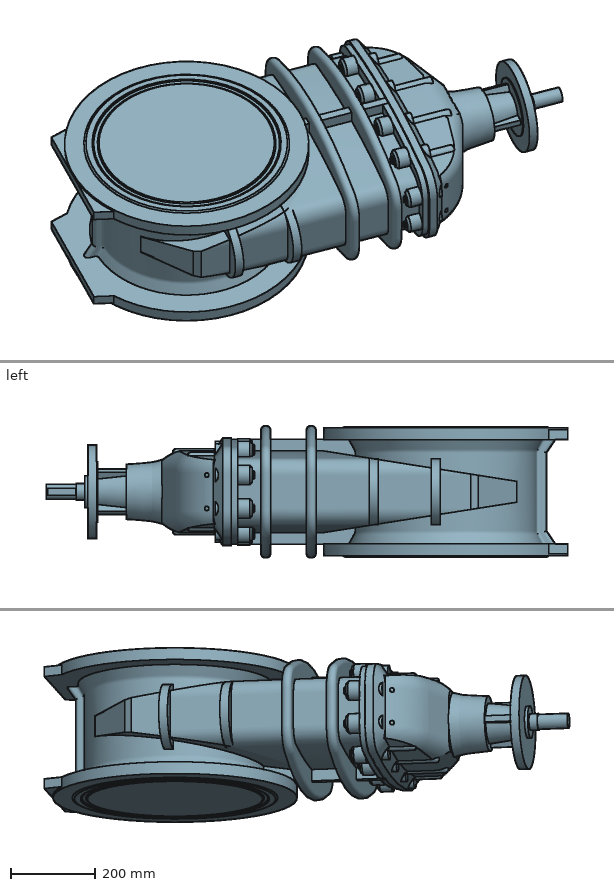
import cadquery as cq


flange_radius = 290.0
flange_inner_z = 124.0
flange_outer_z = 153.0
face_radius = 244.0
face_bevel = 5.0
face_z = 155.0
seat_groove_outer = 225.0
seat_groove_inner = 208.0
seat_groove_bevel = 4.0
seat_groove_depth = 1.9
barrel_radius = 216.0
barrel_half_length = 93.0
hub_start_rise = 1.9
hub_start_radius = barrel_radius + hub_start_rise
hub_start_z = 100.0
hub_radius = 231.0
foot_top_y = -243.0
foot_top_half_width = 156.0
foot_bottom_half_width = 141.0
foot_thickness = 24.0
drain_rib_half_width = 10.0
drain_rib_y = -240.0
drain_rib_end_y = -260.0
drain_rib_tip_round = 9.0
drain_rib_fillet = 7.0

housing_half_width = 253.0
housing_crown_z = 98.0
housing_shoulder_z = 73.0
housing_corner = 40.0
housing_side_end_y = -60.0
housing_bend = (243.0, -77.0)
housing_toe = (136.0, -169.0)
taper_high_y = 320.0
taper_high_z = 102.0
taper_low_z = 25.0

ring_half_width = flange_radius
ring_depth = 316.0
ring_crown_z = ring_depth / 2
ring_shoulder_z = 89.0
ring_corner = 67.0
ring_thickness = 24.0
ring_edge_round = 11.7
ring_centers_y = (428.0, 320.0)
centre_rib_half_width = 10.0
centre_rib_z = 125.0
guide_rib_radius = 78.0
guide_rib_thickness = 21.0
guide_rib_centers_y = (171.0, 24.0)

body_joint_y = 495.0
joint_y = 510.0
bonnet_joint_y = 530.0
bonnet_skirt_y = 553.0
body_joint_half_width = 275.0
body_joint_crown_z = 125.0
bonnet_joint_half_width = 283.0
bonnet_joint_crown_z = 129.0
joint_shoulder_drop = 32.0
joint_corner = 62.0
bolt_places = ((61.0, 103.0), (172.0, 97.0), (250.0, 40.0))
nut_radius = 24.0
nut_height = 35.0
nut_bevel = 6.0
bolt_radius = 10.0
bolt_tip = 6.0
bolt_head_radius = 17.0
bolt_head_y = 548.0

dome_half_width = 250.0
dome_crown_z = 99.0
dome_shoulder_z = 75.0
dome_top_y = 675.0
dome_neck_half_width = 75.0
dome_slope_end = (161.0, 641.0)
dome_bend_y = 612.0
dome_neck_z = 75.0
dome_edge_round = 52.0
dome_rib_radius = 11.8
dome_rib_places = ((61.0, 90.0, 649.0), (172.0, 82.0, 614.0))
side_rib_x = 238.0
side_rib_z = 40.0
side_rib_end_y = 573.0
side_rib_radius = 8.1
rib_end_round = 7.0

tower_top_y = 759.0
tower_base_y = 698.0
tower_top_radius = 66.0
tower_base_radius = 71.0
tower_foot_radius = 77.0
tower_foot_y = 674.0
tower_root_y = 620.0
yoke_top_radius = 40.0
yoke_base_radius = 48.0
yoke_rib_radius = 58.0
yoke_rib_width = 15.0
yoke_rib_count = 3
drive_bottom_y = 830.0
drive_top_y = 851.0
drive_radius = 112.0
drive_pad_radius = 72.0
drive_pad_thickness = 2.0
drive_boss_radius = 38.0
drive_boss_y = 858.0
collar_radius = 20.0
collar_y = 878.0
stem_diameter = 36.0
stem_radius = stem_diameter / 2
stem_y = 950.0
keyway_width = 16.0
keyway_depth = 6.0
keyway_length = 67.0
keyway_end_gap = 4.0


def along_y(y):
    """Plane at height y with local x along X, local y along Z, facing -Y."""
    return cq.Workplane(cq.Plane((0, y, 0), (1, 0, 0), (0, -1, 0)))


def lens_block(half_width, crown_z, shoulder_z, y_start, y_end):
    """Block with upright sides and bulging faces, running along Y."""
    outline = (
        along_y(y_start)
        .moveTo(-half_width, -shoulder_z)
        .lineTo(-half_width, shoulder_z)
        .threePointArc((0, crown_z), (half_width, shoulder_z))
        .lineTo(half_width, -shoulder_z)
        .threePointArc((0, -crown_z), (-half_width, -shoulder_z))
        .close()
    )
    return outline.extrude(y_start - y_end)


def crowned_block(half_width, crown_z, shoulder_z, corner, y_start, y_end):
    """Lens block with its four long corners rounded."""
    return lens_block(half_width, crown_z, shoulder_z, y_start, y_end).edges("|Y").fillet(corner)


def round_bar(radius, y_start, y_end, x=0, z=0):
    return along_y(y_start).center(x, z).circle(radius).extrude(y_start - y_end)


def make_barrel():
    profile = (
        cq.Workplane("XZ")
        .moveTo(0, 0)
        .lineTo(barrel_radius, 0)
        .lineTo(barrel_radius, barrel_half_length)
        .tangentArcPoint((hub_start_radius, hub_start_z), relative=False)
        .lineTo(hub_radius, flange_inner_z)
        .lineTo(flange_radius, flange_inner_z)
        .lineTo(flange_radius, flange_outer_z)
        .lineTo(face_radius, flange_outer_z)
        .lineTo(face_radius - face_bevel, face_z)
        .lineTo(seat_groove_outer, face_z)
        .lineTo(seat_groove_outer - seat_groove_bevel, face_z - seat_groove_depth)
        .lineTo(seat_groove_inner + seat_groove_bevel, face_z - seat_groove_depth)
        .lineTo(seat_groove_inner, face_z)
        .lineTo(0, face_z)
        .close()
    )
    half = profile.revolve(360, (0, 0, 0), (0, 1, 0))
    foot = (
        cq.Workplane("XY")
        .workplane(offset=flange_inner_z)
        .polyline([
            (-foot_top_half_width, foot_top_y),
            (foot_top_half_width, foot_top_y),
            (foot_bottom_half_width, -flange_radius),
            (-foot_bottom_half_width, -flange_radius),
        ])
        .close()
        .extrude(foot_thickness)
    )
    half = half.union(foot)
    return half.union(half.mirror("XY"))


def make_drain_rib():
    """Upright rib on the underside of the barrel, widening towards both flanges."""
    rib = (
        cq.Workplane("YZ")
        .polyline([
            (0, -flange_inner_z),
            (drain_rib_end_y, -flange_inner_z),
            (drain_rib_y, -barrel_half_length),
            (drain_rib_y, barrel_half_length),
            (drain_rib_end_y, flange_inner_z),
            (0, flange_inner_z),
        ])
        .close()
        .extrude(drain_rib_half_width, both=True)
    )
    tip_region = cq.selectors.BoxSelector(
        (-flange_radius, drain_rib_end_y, -flange_inner_z + drain_rib_fillet),
        (flange_radius, -barrel_radius, flange_inner_z - drain_rib_fillet),
    )
    return rib.edges("not(|X)").edges(tip_region).fillet(drain_rib_tip_round)


def make_ribbed_barrel():
    """Barrel with the drain rib blended into its underside."""
    barrel = make_barrel().union(make_drain_rib())
    blend_region = cq.selectors.BoxSelector(
        (-drain_rib_half_width - drain_rib_fillet, -barrel_radius, -drain_rib_fillet),
        (drain_rib_half_width + drain_rib_fillet, -barrel_radius + drain_rib_fillet, drain_rib_fillet),
    )
    return barrel.edges("|Z").edges(blend_region).fillet(drain_rib_fillet)


def make_housing():
    bend_x, bend_y = housing_bend
    toe_x, toe_y = housing_toe
    block = crowned_block(
        housing_half_width, housing_crown_z, housing_shoulder_z, housing_corner, toe_y, joint_y
    )
    plan = (
        cq.Workplane("XY")
        .polyline([
            (-housing_half_width, joint_y),
            (housing_half_width, joint_y),
            (housing_half_width, housing_side_end_y),
            (bend_x, bend_y),
            (toe_x, toe_y),
            (-toe_x, toe_y),
            (-bend_x, bend_y),
            (-housing_half_width, housing_side_end_y),
        ])
        .close()
        .extrude(ring_crown_z, both=True)
    )
    wedge = (
        cq.Workplane("YZ")
        .polyline([
            (joint_y, -taper_high_z),
            (joint_y, taper_high_z),
            (taper_high_y, taper_high_z),
            (toe_y, taper_low_z),
            (toe_y, -taper_low_z),
            (taper_high_y, -taper_high_z),
        ])
        .close()
        .extrude(flange_radius, both=True)
    )
    return block.intersect(plan).intersect(wedge)


def make_housing_ribs():
    ribs = (
        cq.Workplane("XY")
        .box(2 * centre_rib_half_width, joint_y, 2 * centre_rib_z, centered=(True, False, True))
    )
    for y in ring_centers_y:
        ring = crowned_block(
            ring_half_width, ring_crown_z, ring_shoulder_z, ring_corner,
            y - ring_thickness / 2, y + ring_thickness / 2,
        )
        ribs = ribs.union(ring.faces("<Y or >Y").edges().fillet(ring_edge_round))
    for y in guide_rib_centers_y:
        for side in (-1, 1):
            disc = round_bar(
                guide_rib_radius, y - guide_rib_thickness / 2, y + guide_rib_thickness / 2,
                x=side * (flange_radius - guide_rib_radius),
            )
            ribs = ribs.union(disc)
    return ribs


def make_joint():
    joint = crowned_block(
        body_joint_half_width, body_joint_crown_z, body_joint_crown_z - joint_shoulder_drop,
        joint_corner, body_joint_y, joint_y,
    )
    bonnet_flange = crowned_block(
        bonnet_joint_half_width, bonnet_joint_crown_z, bonnet_joint_crown_z - joint_shoulder_drop,
        joint_corner, joint_y, bonnet_skirt_y,
    )
    skirt_height = bonnet_skirt_y - bonnet_joint_y
    skirt_width = bonnet_joint_half_width - dome_half_width
    bonnet_flange = bonnet_flange.faces(">Y").edges().chamfer(skirt_height, skirt_width)
    joint = joint.union(bonnet_flange)
    for bolt_x, bolt_z in bolt_places:
        for x in (-bolt_x, bolt_x):
            for z in (-bolt_z, bolt_z):
                joint = joint.union(make_bolt(x, z))
    return joint


def make_bolt(x, z):
    """Bolt through the joint, with its nut on the housing side and its head on the bonnet."""
    nut_y = body_joint_y - nut_height
    nut = round_bar(nut_radius, nut_y, body_joint_y, x, z).faces("<Y").chamfer(nut_bevel)
    shank = round_bar(bolt_radius, nut_y - bolt_tip, body_joint_y, x, z).faces("<Y").chamfer(bolt_tip / 2)
    head = round_bar(bolt_head_radius, joint_y, bolt_head_y, x, z)
    return nut.union(shank).union(head)


def make_dome():
    """Bonnet dome: rounded plan, bulging faces, drawn in towards the stem tower."""
    slope_x, slope_y = dome_slope_end
    half_plan = (
        cq.Workplane("XY")
        .moveTo(0, bonnet_joint_y)
        .lineTo(0, dome_top_y)
        .lineTo(dome_neck_half_width, dome_top_y)
        .lineTo(slope_x, slope_y)
        .tangentArcPoint((dome_half_width, bonnet_skirt_y), relative=False)
        .lineTo(dome_half_width, bonnet_joint_y)
        .close()
        .extrude(dome_crown_z, both=True)
    )
    half_plan = half_plan.faces("|Z").edges("not(<X or <Y)").edges("not(>Y)").fillet(dome_edge_round)
    plan = half_plan.union(half_plan.mirror("YZ"))
    profile = (
        cq.Workplane("YZ")
        .moveTo(bonnet_joint_y, 0)
        .lineTo(bonnet_joint_y, dome_crown_z)
        .lineTo(dome_bend_y, dome_crown_z)
        .tangentArcPoint((dome_top_y, dome_neck_z), relative=False)
        .lineTo(dome_top_y, 0)
        .close()
        .extrude(dome_half_width, both=True)
    )
    profile = profile.union(profile.mirror("XY"))
    lens = lens_block(dome_half_width, dome_crown_z, dome_shoulder_z, bonnet_joint_y, dome_top_y)
    return plan.intersect(lens).intersect(profile)


def make_dome_ribs():
    """Low round-ended ridges running back from the bolt heads."""
    places = [(x, z, end_y, dome_rib_radius) for x, z, end_y in dome_rib_places]
    places.append((side_rib_x, side_rib_z, side_rib_end_y, side_rib_radius))
    ribs = cq.Workplane("XY")
    for rib_x, rib_z, end_y, radius in places:
        for x in (-rib_x, rib_x):
            for z in (-rib_z, rib_z):
                bar = round_bar(radius, bonnet_joint_y, end_y, x, z)
                ribs = ribs.add(bar.faces(">Y").edges().fillet(rib_end_round))
    return ribs.combine()


def make_tower():
    profile = (
        cq.Workplane("XY")
        .moveTo(0, tower_root_y)
        .lineTo(tower_foot_radius, tower_root_y)
        .lineTo(tower_foot_radius, tower_foot_y)
        .lineTo(tower_base_radius, tower_base_y)
        .lineTo(tower_top_radius, tower_top_y)
        .lineTo(yoke_base_radius, tower_top_y)
        .lineTo(yoke_top_radius, drive_bottom_y)
        .lineTo(0, drive_bottom_y)
        .close()
    )
    tower = profile.revolve(360, (0, 0, 0), (0, 1, 0))
    yoke_length = drive_bottom_y - tower_top_y
    rib = (
        cq.Workplane("XY")
        .box(yoke_rib_radius, yoke_length, yoke_rib_width, centered=(False, False, True))
        .translate((0, tower_top_y, 0))
    )
    for index in range(yoke_rib_count):
        tower = tower.union(rib.rotate((0, 0, 0), (0, 1, 0), index * 360 / yoke_rib_count))
    return tower


def make_drive():
    """Actuator flange with its pads, and the keyed stem end."""
    drive = round_bar(drive_pad_radius, drive_bottom_y - drive_pad_thickness, drive_bottom_y)
    drive = drive.union(round_bar(drive_radius, drive_bottom_y, drive_top_y))
    drive = drive.union(round_bar(drive_boss_radius, drive_top_y, drive_boss_y))
    drive = drive.union(round_bar(collar_radius, drive_boss_y, collar_y))
    stem = round_bar(stem_radius, collar_y, stem_y)
    keyway = cq.Workplane("XY").box(keyway_depth, keyway_length, keyway_width).translate(
        (-stem_radius + keyway_depth / 2, stem_y - keyway_end_gap - keyway_length / 2, 0)
    )
    return drive.union(stem.cut(keyway))


result = (
    make_ribbed_barrel()
    .union(make_housing())
    .union(make_housing_ribs())
    .union(make_joint())
    .union(make_dome())
    .union(make_dome_ribs())
    .union(make_tower())
    .union(make_drive())
)